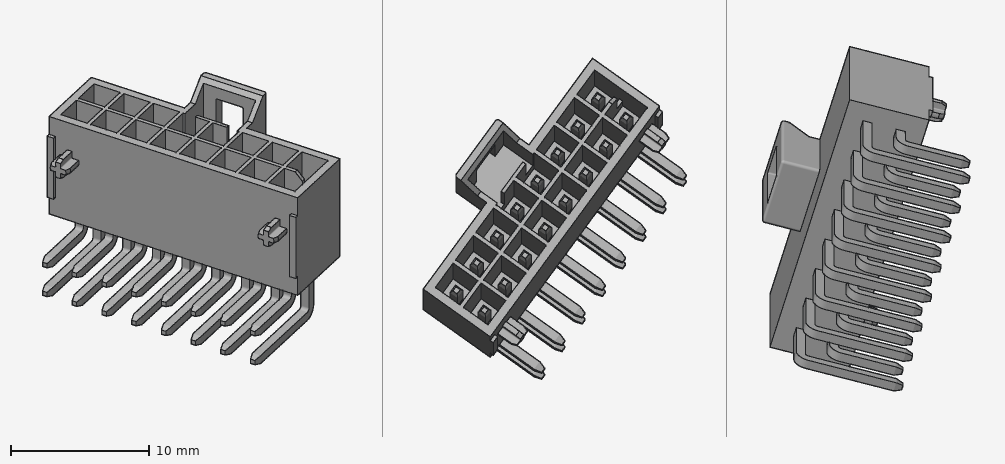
import cadquery as cq


LENGTH = 20.95
DEPTH = 5.99
HEIGHT = 8.45

COLUMNS = 8
COLUMN_SPAN = 17.5
PITCH = COLUMN_SPAN / (COLUMNS - 1)
CELL_SIDE = 2.2
CELL_FLOOR_Z = 2.0
COLUMN_X = [(i - (COLUMNS - 1) / 2) * PITCH for i in range(COLUMNS)]
FRONT_ROW_Y = (DEPTH - PITCH) / 2
REAR_ROW_Y = FRONT_ROW_Y + PITCH
CELL_BACK_Y = REAR_ROW_Y + CELL_SIDE / 2

LATCH_WIDTH = 5.24
LATCH_REACH = 2.85
LATCH_BOTTOM_Z = 3.48
LATCH_RISE = 1.49
LATCH_LIP = 0.55
LATCH_WALL = 0.42
LATCH_BACK_WALL = 0.88
LATCH_FILLET = 0.2
LATCH_BACK_Y = DEPTH + LATCH_REACH
LATCH_TOP_Z = HEIGHT + LATCH_RISE
WELL_FLOOR_Z = LATCH_BOTTOM_Z + LATCH_WALL

WINDOW_WIDTH = 2.3
WINDOW_TOP_Z = HEIGHT + 0.17
WINDOW_RADIUS = 0.13
SCREEN_WIDTH = 2.65
SCREEN_THICKNESS = 0.27

GAP_START_X = 9.17
GAP_CHAMFER = 0.6

PAD_WIDTH = 0.55
PAD_THICKNESS = 0.27
PAD_BOTTOM_Z = 1.61
PAD_TOP_Z = 6.9

PEG_DIAMETER = 1.61
PEG_ARM = 0.42
PEG_LENGTH = 1.61
PEG_ROOT_RADIUS = 0.08
PEG_Z = 5.28
PEG_TAPER_LENGTH = 0.4
PEG_TAPER_INSET = 0.15

PIN_SIDE = 0.7
PIN_TIP_SIDE = 0.38
PIN_TIP_LENGTH = 0.55
PIN_REACH = 3.5
PIN_TOP_Z = 5.86
PIN_BEND_INNER = 0.25
LOWEST_Z = -4.71
REAR_LEG_Z = LOWEST_Z + PIN_SIDE / 2
FRONT_LEG_Z = REAR_LEG_Z + PITCH


def box_between(x0, x1, y0, y1, z0, z1):
    return cq.Workplane("XY").box(x1 - x0, y1 - y0, z1 - z0, centered=False).translate((x0, y0, z0))


def latch_block():
    """Solid latch shroud with its sloped shoulder and rounded outer edges."""
    shoulder_y = LATCH_BACK_Y - LATCH_LIP
    block = (
        cq.Workplane("YZ")
        .polyline([
            (DEPTH, LATCH_BOTTOM_Z),
            (LATCH_BACK_Y, LATCH_BOTTOM_Z),
            (LATCH_BACK_Y, LATCH_TOP_Z),
            (shoulder_y, LATCH_TOP_Z),
            (shoulder_y - LATCH_RISE, HEIGHT),
            (DEPTH, HEIGHT),
        ])
        .close()
        .extrude(LATCH_WIDTH / 2, both=True)
    )
    return block.edges("(>Y and |Z) or (<Z and |Y) or (<Z and >Y)").fillet(LATCH_FILLET)


def cells():
    points = [(x, y) for x in COLUMN_X for y in (FRONT_ROW_Y, REAR_ROW_Y)]
    return (
        cq.Workplane("XY", origin=(0, 0, CELL_FLOOR_Z))
        .pushPoints(points)
        .rect(CELL_SIDE, CELL_SIDE)
        .extrude(HEIGHT - CELL_FLOOR_Z)
    )


def latch_well():
    """Space inside the latch, open to the two middle cells on each side of the thin wall."""
    half_well = LATCH_WIDTH / 2 - LATCH_WALL
    well_back_y = LATCH_BACK_Y - LATCH_BACK_WALL
    well = box_between(-half_well, half_well, CELL_BACK_Y, well_back_y, WELL_FLOOR_Z, LATCH_TOP_Z)
    screen = box_between(
        -SCREEN_WIDTH / 2, SCREEN_WIDTH / 2,
        CELL_BACK_Y, CELL_BACK_Y + SCREEN_THICKNESS,
        WELL_FLOOR_Z, HEIGHT,
    )
    return well.cut(screen)


def latch_window():
    window = box_between(
        -WINDOW_WIDTH / 2, WINDOW_WIDTH / 2,
        LATCH_BACK_Y - LATCH_BACK_WALL, LATCH_BACK_Y,
        WELL_FLOOR_Z, WINDOW_TOP_Z,
    )
    return window.edges("|Y and >Z").fillet(WINDOW_RADIUS)


def partition_gap():
    """Cutter for the gap; the partition end left beside it has a chamfered top corner."""
    gap_end_x = COLUMN_X[-1] + CELL_SIDE / 2
    return (
        cq.Workplane("XZ", origin=(0, DEPTH / 2, 0))
        .moveTo(GAP_START_X - GAP_CHAMFER, HEIGHT)
        .lineTo(GAP_START_X, HEIGHT - GAP_CHAMFER)
        .lineTo(GAP_START_X, WELL_FLOOR_Z)
        .lineTo(gap_end_x, WELL_FLOOR_Z)
        .lineTo(gap_end_x, HEIGHT)
        .close()
        .extrude((PITCH - CELL_SIDE) / 2, both=True)
    )


def pads():
    left = box_between(-LENGTH / 2, PAD_WIDTH - LENGTH / 2, -PAD_THICKNESS, 0, PAD_BOTTOM_Z, PAD_TOP_Z)
    return left.union(left.mirror("YZ"))


def peg(x):
    """Cross-shaped peg trimmed to a round shaft with a tapered tip."""
    radius = PEG_DIAMETER / 2
    cross = (
        cq.Workplane("XZ")
        .rect(PEG_DIAMETER, PEG_ARM)
        .extrude(PEG_LENGTH)
        .union(cq.Workplane("XZ").rect(PEG_ARM, PEG_DIAMETER).extrude(PEG_LENGTH))
    )
    near_axis = cq.selectors.BoxSelector((-PEG_ARM, -PEG_LENGTH, -PEG_ARM), (PEG_ARM, 0, PEG_ARM))
    cross = cross.edges("|Y").edges(near_axis).fillet(PEG_ROOT_RADIUS)
    envelope = (
        cq.Workplane("XY")
        .polyline([
            (0, 0),
            (radius, 0),
            (radius, PEG_TAPER_LENGTH - PEG_LENGTH),
            (radius - PEG_TAPER_INSET, -PEG_LENGTH),
            (0, -PEG_LENGTH),
        ])
        .close()
        .revolve(360, (0, 0, 0), (0, 1, 0))
    )
    return cross.intersect(envelope).translate((x, 0, PEG_Z))


def pin_tip(plane):
    """Tapered end, growing from the given plane along its normal."""
    return (
        cq.Workplane(plane)
        .rect(PIN_SIDE, PIN_SIDE)
        .workplane(offset=PIN_TIP_LENGTH)
        .rect(PIN_TIP_SIDE, PIN_TIP_SIDE)
        .loft(ruled=True)
    )


def pin(x, row_y, leg_z):
    """Square pin running down from the cell, then bent towards -Y."""
    bend = PIN_BEND_INNER + PIN_SIDE / 2
    top_z = PIN_TOP_Z - PIN_TIP_LENGTH
    end_y = PIN_TIP_LENGTH - PIN_REACH
    centerline = (
        cq.Workplane("YZ", origin=(x, 0, 0))
        .moveTo(row_y, top_z)
        .lineTo(row_y, leg_z + bend)
        .radiusArc((row_y - bend, leg_z), bend)
        .lineTo(end_y, leg_z)
    )
    shank = cq.Workplane("XY", origin=(x, row_y, top_z)).rect(PIN_SIDE, PIN_SIDE).sweep(centerline)
    upper_tip = pin_tip(cq.Plane((x, row_y, top_z), (1, 0, 0), (0, 0, 1)))
    lower_tip = pin_tip(cq.Plane((x, end_y, leg_z), (1, 0, 0), (0, -1, 0)))
    return shank.union(upper_tip).union(lower_tip)


result = box_between(-LENGTH / 2, LENGTH / 2, 0, DEPTH, 0, HEIGHT).union(latch_block())
for cutter in (cells(), latch_well(), latch_window(), partition_gap()):
    result = result.cut(cutter)

result = result.union(pads())
for peg_x in (COLUMN_X[0], COLUMN_X[-1]):
    result = result.union(peg(peg_x))

for column_x in COLUMN_X:
    result = result.union(pin(column_x, FRONT_ROW_Y, FRONT_LEG_Z))
    result = result.union(pin(column_x, REAR_ROW_Y, REAR_LEG_Z))